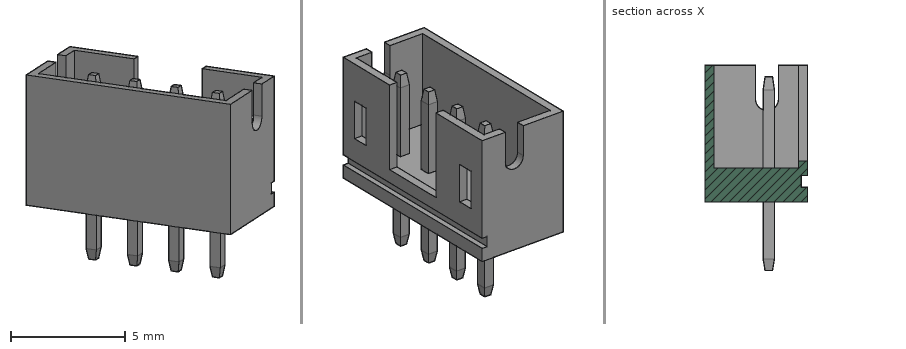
import cadquery as cq


length = 9.9
width = 4.5
height = 6.0
wall = 0.41
floor_thickness = 1.5
inner_back = width / 2 - wall

pin_count = 4
pitch = 2.0
pin_side = 0.5
tip_side = 0.34
pin_row_from_back = 1.7
pin_row_y = width / 2 - pin_row_from_back
pin_recess = 0.5
pin_protrusion = 3.0
pin_top = height - pin_recess
pin_bottom = -pin_protrusion
top_taper = 0.57
bottom_taper = 0.5

slot_width = 1.0
slot_depth = 1.98
slot_from_back = 1.78
slot_y = width / 2 - slot_from_back

opening_length = 3.3
opening_sill = 1.8
window_length = 0.8
window_height = 1.85
window_sill = 2.3
window_x = 3.74
groove_height = 0.5
groove_depth = 0.28
groove_bottom = 0.65


def block(size_x, size_y, z_low, z_high, x=0.0, y=0.0):
    """Upright box centred at (x, y) between two heights."""
    return (
        cq.Workplane("XY", origin=(x, y, z_low))
        .rect(size_x, size_y)
        .extrude(z_high - z_low)
    )


def shell():
    outer = block(length, width, 0, height)
    cavity = block(length - 2 * wall, width - 2 * wall, floor_thickness, height)
    return outer.cut(cavity)


def end_slots():
    """Round-bottomed cutter running through both end walls."""
    radius = slot_width / 2
    round_z = height - slot_depth + radius
    straight = block(length, slot_width, round_z, height, y=slot_y)
    round_bottom = (
        cq.Workplane("YZ", origin=(-length / 2, slot_y, round_z))
        .circle(radius)
        .extrude(length)
    )
    return straight.union(round_bottom)


def back_wall_cut(size_x, z_low, z_high, x=0.0):
    """Cutter that passes through the full thickness of the back wall."""
    return block(size_x, wall, z_low, z_high, x, inner_back + wall / 2)


def back_groove():
    groove_y = width / 2 - groove_depth / 2
    return block(length, groove_depth, groove_bottom, groove_bottom + groove_height, y=groove_y)


def tapered_tip(x, z_base, z_end):
    """Square frustum from the pin shank to its blunt end."""
    return (
        cq.Workplane("XY", origin=(x, pin_row_y, z_base))
        .rect(pin_side, pin_side)
        .workplane(offset=z_end - z_base)
        .rect(tip_side, tip_side)
        .loft(ruled=True)
    )


def pin(x):
    shank_top = pin_top - top_taper
    shank_bottom = pin_bottom + bottom_taper
    shank = block(pin_side, pin_side, shank_bottom, shank_top, x, pin_row_y)
    upper_tip = tapered_tip(x, shank_top, pin_top)
    lower_tip = tapered_tip(x, shank_bottom, pin_bottom)
    return shank.union(upper_tip).union(lower_tip)


result = shell()
result = result.cut(end_slots())
result = result.cut(back_wall_cut(opening_length, opening_sill, height))
window_top = window_sill + window_height
for side in (-1, 1):
    result = result.cut(back_wall_cut(window_length, window_sill, window_top, side * window_x))
result = result.cut(back_groove())
for index in range(pin_count):
    result = result.union(pin((index - (pin_count - 1) / 2) * pitch))